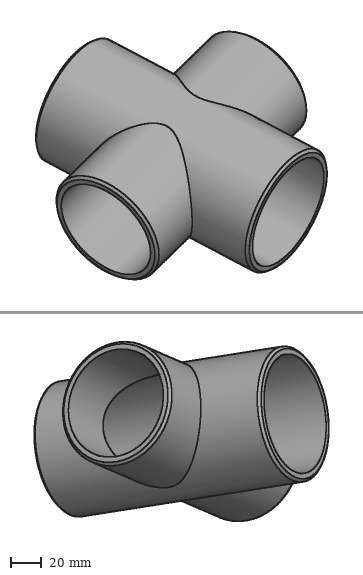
import cadquery as cq

run_length = 171.7
run_diameter = 89.0
run_bore = 78.1

branch_length = 165.2
branch_diameter = 82.6
branch_bore = 71.8

end_bevel = 1.9


def centred_cylinder(plane, diameter, length):
    """Cylinder along the plane's normal, centred on the origin."""
    return cq.Workplane(plane).circle(diameter / 2).extrude(length / 2, both=True)


def bevelled_bar(plane, diameter, length):
    """Solid bar with both end edges bevelled."""
    bar = centred_cylinder(plane, diameter, length)
    return bar.faces("%PLANE").edges().chamfer(end_bevel)


cross = bevelled_bar("YZ", run_diameter, run_length).union(
    bevelled_bar("XZ", branch_diameter, branch_length)
)
result = cross.cut(centred_cylinder("YZ", run_bore, run_length)).cut(
    centred_cylinder("XZ", branch_bore, branch_length)
)